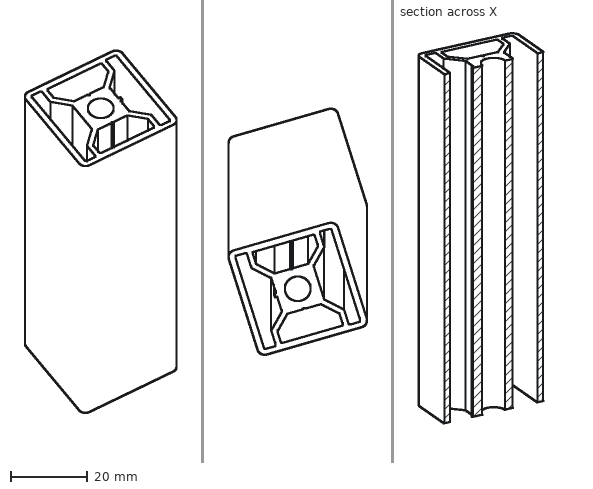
import cadquery as cq

side = 30.0
length = 100.0
corner_radius = 2.0

core_half = 5.8
bore_diameter = 6.8
rib_width = 1.0
rib_height = 0.6
groove_depth = 0.3
groove_half_width = 0.4

end_cavity_half_width = 13.4
end_cavity_outer = 13.2
side_cavity_outer = 13.1
web_outer = 10.0
web_thickness = 1.5
web_inner = web_outer - web_thickness
end_cavity_core_half_width = 4.8
side_cavity_core_half_width = 4.6
cavity_corner_radius = 0.4

end_bend = end_cavity_core_half_width + web_outer - core_half
side_bend = core_half + web_inner - side_cavity_core_half_width


def rounded_prism(points, wall_corner_count):
    """Extrude a cavity outline, rounding the leading points that lie on the outer wall."""
    prism = cq.Workplane("XY").polyline(points).close().extrude(length)
    for x, y in points[:wall_corner_count]:
        nearest = cq.selectors.NearestToPointSelector((x, y, length / 2))
        prism = prism.edges("|Z").edges(nearest).fillet(cavity_corner_radius)
    return prism


end_cavity = rounded_prism([
    (end_cavity_half_width, web_outer),
    (end_cavity_half_width, end_cavity_outer),
    (-end_cavity_half_width, end_cavity_outer),
    (-end_cavity_half_width, web_outer),
    (-end_bend, web_outer),
    (-end_cavity_core_half_width, core_half),
    (end_cavity_core_half_width, core_half),
    (end_bend, web_outer),
], wall_corner_count=4)

side_cavity = rounded_prism([
    (side_cavity_outer, -web_inner),
    (side_cavity_outer, web_inner),
    (side_bend, web_inner),
    (core_half, side_cavity_core_half_width),
    (core_half, -side_cavity_core_half_width),
    (side_bend, -web_inner),
], wall_corner_count=2)

result = cq.Workplane("XY").rect(side, side).extrude(length).edges("|Z").fillet(corner_radius)
for cavity in (end_cavity, side_cavity):
    result = result.cut(cavity)
    result = result.cut(cavity.rotate((0, 0, 0), (0, 0, 1), 180))

bore = cq.Workplane("XY").circle(bore_diameter / 2).extrude(length)
result = result.cut(bore)

rib = cq.Workplane("XY").rect(rib_width, 2 * rib_height).extrude(length)
result = result.union(rib.translate((0, core_half, 0)))

for direction in (-1, 1):
    groove = (
        cq.Workplane("XY")
        .polyline([
            (direction * core_half, -groove_half_width),
            (direction * (core_half - groove_depth), 0),
            (direction * core_half, groove_half_width),
        ])
        .close()
        .extrude(length)
    )
    result = result.cut(groove)